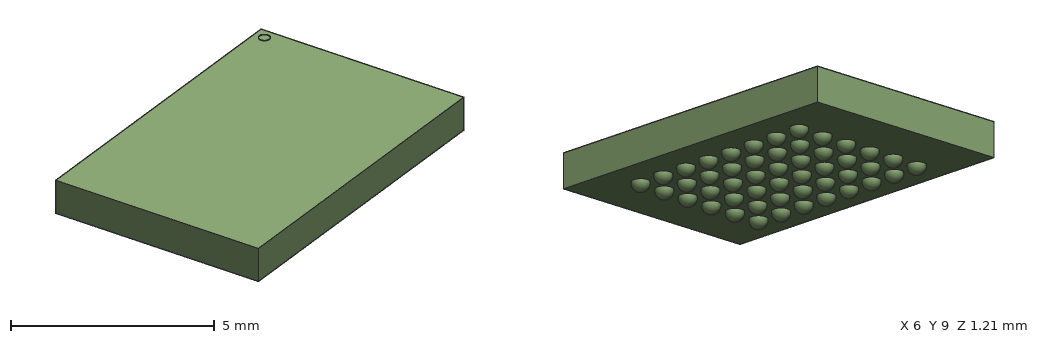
import cadquery as cq

body_width = 6.0
body_length = 9.0
total_height = 1.21
ball_drop = 0.27
body_height = total_height - ball_drop

ball_columns = 6
ball_rows = 8
ball_pitch = 0.8
ball_diameter = 0.48
ball_radius = ball_diameter / 2
ball_center_z = ball_radius - ball_drop

mark_diameter = 0.3
mark_inset = 0.3
mark_depth = 0.02


def make_body():
    return cq.Workplane("XY").box(body_width, body_length, body_height, centered=(True, True, False))


def add_balls(body):
    """Fuse the grid of solder balls, each partly sunk into the underside."""
    balls = (
        cq.Workplane("XY", origin=(0, 0, ball_center_z))
        .rarray(ball_pitch, ball_pitch, ball_columns, ball_rows)
        .sphere(ball_radius, combine=False)
    )
    return body.union(balls)


def cut_mark(body):
    return (
        body.faces(">Z")
        .workplane(origin=(0, 0, body_height))
        .center(mark_inset - body_width / 2, body_length / 2 - mark_inset)
        .hole(mark_diameter, mark_depth)
    )


result = add_balls(cut_mark(make_body()))